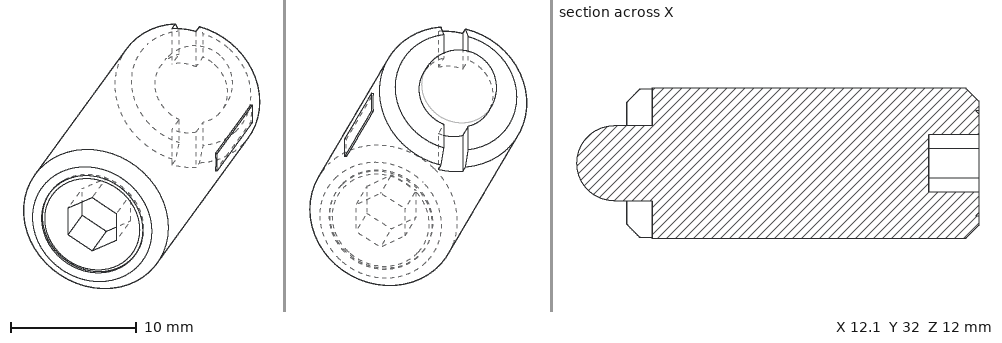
import cadquery as cq
import math

total_length = 32.0
body_diameter = 12.0
body_length = 28.0
body_chamfer = 1.05

pin_diameter = 6.0
pin_radius = pin_diameter / 2

slot_width = 2.0
slot_depth = 2.0

plug_diameter = 8.4
plug_chamfer = 0.25
hex_across_flats = 4.0
hex_depth = 4.0

patch_start = 14.5
patch_length = 10.0
patch_width = 1.5
patch_height = 0.1
patch_embed = 0.95


def rod(diameter, start, length):
    """Cylinder on the part axis, running toward +Y from y = start."""
    plane = cq.Workplane("XZ", origin=(0, start, 0))
    return plane.circle(diameter / 2).extrude(-length)


def make_body():
    """Chamfered body with a screwdriver slot across the pin end."""
    body = rod(body_diameter, 0, body_length).faces("<Y or >Y").chamfer(body_chamfer)
    slot = cq.Workplane("XY").box(slot_width, 2 * slot_depth, 2 * body_diameter)
    return body.cut(slot.translate((0, body_length, 0)))


def make_pin():
    """Pin with a hemispherical tip, standing on the floor of the slot."""
    pin_base = body_length - slot_depth
    tip_centre = total_length - pin_radius
    arc_offset = pin_radius * math.sqrt(0.5)
    profile = (
        cq.Workplane("XY")
        .moveTo(0, pin_base)
        .lineTo(pin_radius, pin_base)
        .lineTo(pin_radius, tip_centre)
        .threePointArc((arc_offset, tip_centre + arc_offset), (0, total_length))
        .close()
    )
    return profile.revolve(360, (0, 0), (0, 1))


def make_plug_groove():
    """V groove left between the body bore and the chamfered rim of the flush plug."""
    bore_radius = plug_diameter / 2
    groove_profile = [
        (bore_radius - plug_chamfer, 0),
        (bore_radius, 0),
        (bore_radius, plug_chamfer),
    ]
    return cq.Workplane("XY").polyline(groove_profile).close().revolve(360, (0, 0), (0, 1))


def make_hex_socket():
    """Hexagon with two corners pointing along Z."""
    across_corners = hex_across_flats / math.cos(math.pi / 6)
    hexagon = cq.Workplane("XZ").transformed(rotate=(0, 0, 90)).polygon(6, across_corners)
    return hexagon.extrude(-hex_depth)


def make_patch():
    """Thin locking patch standing proud of the body on the +X side."""
    thickness = patch_embed + patch_height
    patch = cq.Workplane("XY").box(thickness, patch_length, patch_width, centered=(False, False, True))
    return patch.translate((body_diameter / 2 - patch_embed, patch_start, 0))


result = make_body().union(make_pin()).union(make_patch())
result = result.cut(make_plug_groove()).cut(make_hex_socket())